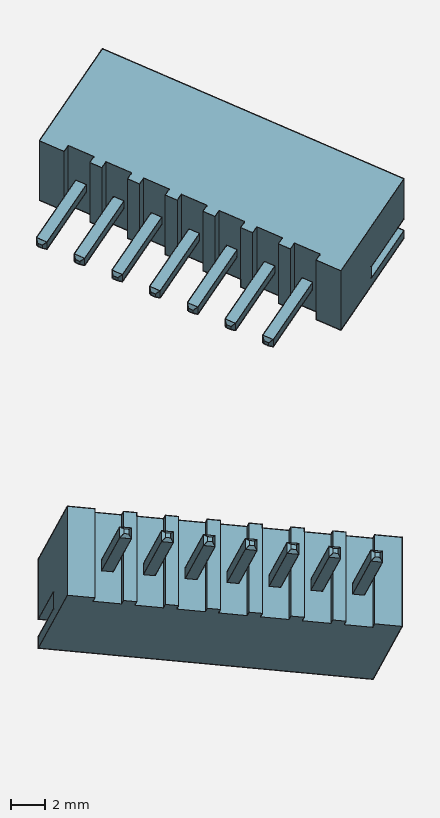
import cadquery as cq

pin_count = 7
pitch = 2.5
end_margin = 2.5
housing_length = (pin_count - 1) * pitch + 2 * end_margin
housing_depth = 7.7
housing_height = 5.7

groove_width = 1.7
groove_depth = 0.5

slot_depth = 4.0
slot_bottom = 0.75
slot_height = 1.1

pin_width = 0.7
pin_center_height = 2.35
pin_projection = 4.5
tip_chamfer = 0.2

pin_positions = [(i - (pin_count - 1) / 2) * pitch for i in range(pin_count)]


def block(width, depth, height, x_center, y_front, z_bottom):
    """Box centred in X, starting at y_front and z_bottom."""
    box = cq.Workplane("XY").box(width, depth, height, centered=(True, False, False))
    return box.translate((x_center, y_front, z_bottom))


def make_housing():
    housing = block(housing_length, housing_depth, housing_height, 0, 0, 0)
    slot_front = housing_depth - slot_depth
    housing = housing.cut(
        block(housing_length, slot_depth, slot_height, 0, slot_front, slot_bottom)
    )
    for x in pin_positions:
        housing = housing.cut(block(groove_width, groove_depth, housing_height, x, 0, 0))
    return housing


def make_pin(x):
    """Pin running from the groove floor to its tapered tip."""
    pin_length = pin_projection + groove_depth
    pin_bottom = pin_center_height - pin_width / 2
    pin = block(pin_width, pin_length, pin_width, x, -pin_projection, pin_bottom)
    return pin.faces("<Y").chamfer(tip_chamfer)


result = make_housing()
for x in pin_positions:
    result = result.union(make_pin(x))